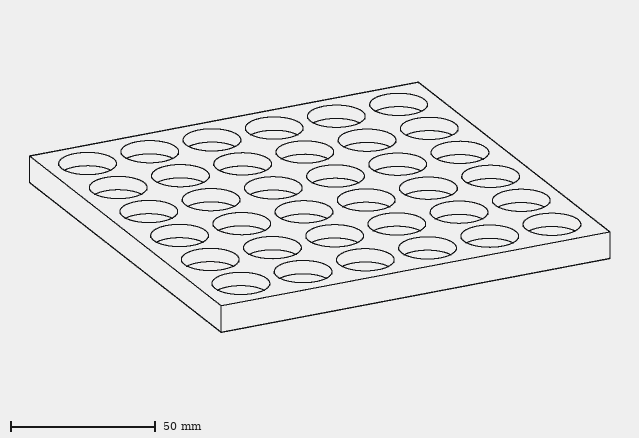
import cadquery as cq

plate_side = 150.0
plate_thickness = 10.0

pockets_per_side = 6
pocket_diameter = 20.0
pocket_pitch = 24.0
pocket_depth = 5.0


def make_plate():
    """Plain square plate centred on the Z axis."""
    return cq.Workplane("XY").box(
        plate_side, plate_side, plate_thickness, centered=(True, True, False)
    )


def cut_pockets(plate):
    """Sink the centred grid of flat-bottomed pockets into the top face."""
    return (
        plate.faces(">Z")
        .workplane()
        .rarray(pocket_pitch, pocket_pitch, pockets_per_side, pockets_per_side)
        .hole(pocket_diameter, pocket_depth)
    )


result = cut_pockets(make_plate())